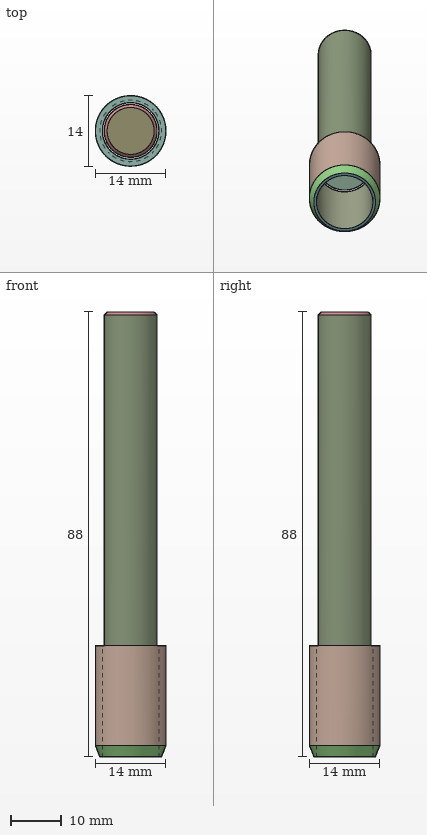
import cadquery as cq

overall_height = 88.0

pin_diameter = 10.5
pin_tip_chamfer = 0.6

sleeve_diameter = 14.0
sleeve_height = 22.0
sleeve_taper_height = 2.25
sleeve_taper_inset = 0.9
radial_clearance = 0.32

pin_length = overall_height - sleeve_height
sleeve_bore_diameter = pin_diameter + 2 * radial_clearance


def make_pin():
    """Plain round pin with a chamfered top end."""
    return (
        cq.Workplane("XY")
        .workplane(offset=sleeve_height)
        .circle(pin_diameter / 2)
        .extrude(pin_length)
        .faces(">Z")
        .chamfer(pin_tip_chamfer)
    )


def make_sleeve():
    """Round sleeve with a tapered lower end and a through bore wider than the pin."""
    outer_radius = sleeve_diameter / 2
    bore_radius = sleeve_bore_diameter / 2
    half_section = [
        (bore_radius, 0),
        (outer_radius - sleeve_taper_inset, 0),
        (outer_radius, sleeve_taper_height),
        (outer_radius, sleeve_height),
        (bore_radius, sleeve_height),
    ]
    return cq.Workplane("XZ").polyline(half_section).close().revolve(360, (0, 0), (0, 1))


pin = make_pin()
sleeve = make_sleeve()

result = cq.Compound.makeCompound([pin.val(), sleeve.val()])